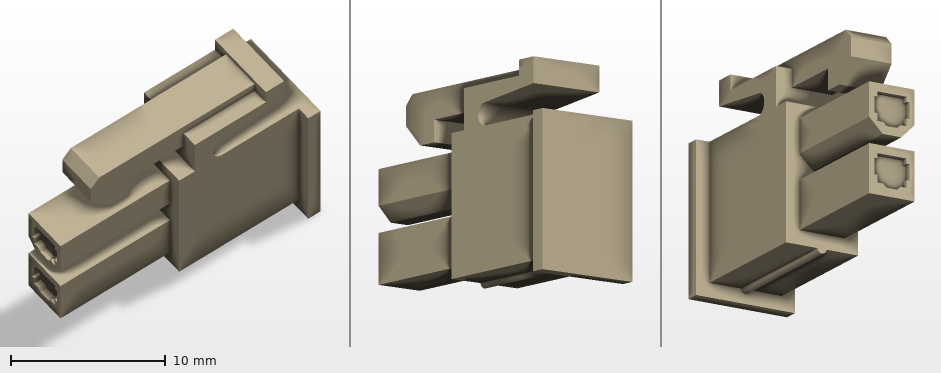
import cadquery as cq

length = 19.6
flange_width = 7.4
flange_thickness = 1.0
body_top = 10.58
body_front = 8.88
rim = 1.0
body_width = flange_width - 2 * rim
body_bottom = rim

rib_half_width = 0.33
rib_depth = 0.31

bracket_front = 10.15
step_height = 13.35
grip_front = 15.92
grip_back = 17.4
grip_top = 14.4
grip_bottom = 12.65
slot_radius = 0.76
slot_center_y = 12.4

arm_width = 3.04
arm_top = 14.07
arm_bottom = 12.07
arm_front = 2.6
nose_chamfer = 0.69
hook_back = 5.57
hook_front = 4.1

tower_size = 3.41
tower_chamfer = 1.0
tower_pitch = 4.2
upper_tower_top = 9.6

cavity_depth = 0.5
cavity_half_width = 1.1
ear_half_width = 1.31
cavity_top = 0.59
ear_top = 0.95
ear_bottom = 2.05
cavity_bottom = 2.59
keel_bottom = 2.82
keel_half_width = 0.41
keel_root_half_width = keel_half_width + keel_bottom - cavity_bottom


def block(width, y_front, y_back, z_bottom, z_top):
    """Box centred on X = 0."""
    size = (width, y_back - y_front, z_top - z_bottom)
    return cq.Workplane("XY").box(*size, centered=(True, False, False)).translate((0, y_front, z_bottom))


def make_housing():
    flange = block(flange_width, length - flange_thickness, length, 0, body_top)
    body = block(body_width, body_front, length, body_bottom, body_top)
    rib = (
        cq.Workplane("XZ", origin=(0, length, 0))
        .moveTo(-rib_half_width, body_bottom)
        .threePointArc((0, body_bottom - rib_depth), (rib_half_width, body_bottom))
        .close()
        .extrude(length - body_front)
    )
    return flange.union(body).union(rib)


def make_bracket():
    """Bracket on the body top, undercut by a tapered slot with a round end."""
    profile = (
        cq.Workplane("YZ")
        .moveTo(bracket_front, body_top)
        .lineTo(bracket_front, step_height)
        .lineTo(grip_front, step_height)
        .lineTo(grip_front, grip_top)
        .lineTo(grip_back, grip_top)
        .lineTo(grip_back, grip_bottom)
        .lineTo(slot_center_y, body_top + 2 * slot_radius)
        .threePointArc((slot_center_y - slot_radius, body_top + slot_radius), (slot_center_y, body_top))
        .close()
    )
    return profile.extrude(body_width / 2, both=True)


def make_arm():
    """Latch arm reaching forward from the grip to a hooked nose."""
    profile = (
        cq.Workplane("YZ")
        .moveTo(grip_front, arm_top)
        .lineTo(arm_front + nose_chamfer, arm_top)
        .lineTo(arm_front, arm_top - nose_chamfer)
        .lineTo(arm_front, arm_bottom)
        .lineTo(hook_front, body_top)
        .lineTo(hook_back, body_top)
        .lineTo(hook_back, arm_bottom)
        .lineTo(bracket_front, arm_bottom)
        .lineTo(bracket_front, step_height)
        .lineTo(grip_front, step_height)
        .close()
    )
    return profile.extrude(arm_width / 2, both=True)


def make_tower(top):
    return block(tower_size, 0, body_front, top - tower_size, top)


def make_cavity(top):
    """Contact pocket cut into the front face of a tower."""
    right_side = [
        (cavity_half_width, top - cavity_top),
        (cavity_half_width, top - ear_top),
        (ear_half_width, top - ear_top),
        (ear_half_width, top - ear_bottom),
        (cavity_half_width, top - ear_bottom),
        (cavity_half_width, top - cavity_bottom),
        (keel_root_half_width, top - cavity_bottom),
        (keel_half_width, top - keel_bottom),
    ]
    left_side = [(-x, z) for x, z in reversed(right_side)]
    return cq.Workplane("XZ").polyline(right_side + left_side).close().extrude(-cavity_depth)


lower_tower_top = upper_tower_top - tower_pitch
upper_tower = make_tower(upper_tower_top).edges("|Y and <Z").chamfer(tower_chamfer)
lower_tower = make_tower(lower_tower_top)

result = make_housing().union(make_bracket()).union(make_arm()).union(upper_tower).union(lower_tower)
for tower_top in (upper_tower_top, lower_tower_top):
    result = result.cut(make_cavity(tower_top))